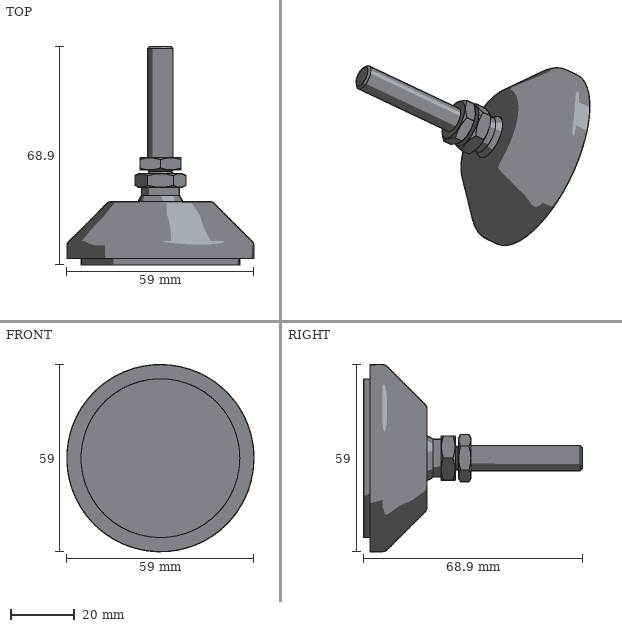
import cadquery as cq
import math


foot_diameter = 59.0
foot_height = 20.0
pad_diameter = 50.0
pad_height = 2.0
rim_top = 6.85
foot_top_radius = foot_diameter / 2 - (foot_height - rim_top)
foot_edge_rounding = 2.0

neck_diameter = 12.0
neck_length = 2.5
ball_diameter = 15.0
ball_radius = ball_diameter / 2
neck_start = 21.88
ball_center = neck_start - math.sqrt(ball_radius**2 - (neck_diameter / 2) ** 2)
hexagon_width = 14.0
hexagon_thickness = 4.5
hexagon_start = neck_start + neck_length
shank_start = hexagon_start + hexagon_thickness
shank_diameter = 8.0
shank_length = 40.0
shank_end = shank_start + shank_length
tip_chamfer = 0.7
groove_depth = 0.55
groove_width = 1.0

nut_width = 13.0
nut_thickness = 4.0
nut_start = shank_start + groove_width

chamfer_angle = math.radians(30)
chamfer_circle_ratio = 0.97
hexagon_corner_turn = 0.0
nut_corner_turn = 90.0


def revolve_about_y(profile):
    """Revolve a closed XY profile a full turn about the Y axis."""
    return profile.revolve(360, (0, 0, 0), (0, 1, 0))


def disk_plane(height):
    """Workplane square to the Y axis, extruding towards +Y."""
    return cq.Workplane(cq.Plane(origin=(0, height, 0), xDir=(1, 0, 0), normal=(0, 1, 0)))


def chamfered_hexagon(width, thickness, start, corner_turn):
    """Hexagonal prism along Y with its corners turned off conically at both ends."""
    corner_radius = width / math.sqrt(3)
    face_radius = chamfer_circle_ratio * width / 2
    chamfer_height = (corner_radius - face_radius) * math.tan(chamfer_angle)
    end = start + thickness
    prism = disk_plane(start).polygon(6, 2 * corner_radius).extrude(thickness)
    prism = prism.rotate((0, 0, 0), (0, 1, 0), corner_turn)
    turned_blank = revolve_about_y(
        cq.Workplane("XY")
        .moveTo(0, start)
        .lineTo(face_radius, start)
        .lineTo(corner_radius, start + chamfer_height)
        .lineTo(corner_radius, end - chamfer_height)
        .lineTo(face_radius, end)
        .lineTo(0, end)
        .close()
    )
    return prism.intersect(turned_blank)


def make_ball():
    return cq.Workplane("XY").sphere(ball_radius).translate((0, ball_center, 0))


def make_foot():
    """Round foot with a stepped base, rounded 45 degree flank and ball socket."""
    pad = disk_plane(0).circle(pad_diameter / 2).extrude(pad_height)
    rim_radius = foot_diameter / 2
    body = revolve_about_y(
        cq.Workplane("XY")
        .moveTo(0, pad_height)
        .lineTo(rim_radius, pad_height)
        .lineTo(rim_radius, rim_top)
        .lineTo(foot_top_radius, foot_height)
        .lineTo(0, foot_height)
        .close()
    )
    flank = body.faces("%CONE")
    rounded_body = flank.edges("%CIRCLE").fillet(foot_edge_rounding)
    return rounded_body.union(pad).cut(make_ball())


def make_shank():
    """Threaded shank with a V groove next to the hexagon and a chamfered tip."""
    radius = shank_diameter / 2
    return revolve_about_y(
        cq.Workplane("XY")
        .moveTo(0, shank_start)
        .lineTo(radius, shank_start)
        .lineTo(radius - groove_depth, shank_start + groove_width / 2)
        .lineTo(radius, shank_start + groove_width)
        .lineTo(radius, shank_end - tip_chamfer)
        .lineTo(radius - tip_chamfer, shank_end)
        .lineTo(0, shank_end)
        .close()
    )


def make_stud():
    """One-piece stud: ball, neck, hexagon and shank."""
    neck = disk_plane(ball_center).circle(neck_diameter / 2).extrude(hexagon_start - ball_center)
    hexagon = chamfered_hexagon(hexagon_width, hexagon_thickness, hexagon_start, hexagon_corner_turn)
    return make_ball().union(neck).union(hexagon).union(make_shank())


def make_lock_nut():
    """Thin hexagon nut fitting the shank."""
    blank = chamfered_hexagon(nut_width, nut_thickness, nut_start, nut_corner_turn)
    bore = disk_plane(nut_start).circle(shank_diameter / 2).extrude(nut_thickness)
    return blank.cut(bore)


foot = make_foot()
stud = make_stud()
lock_nut = make_lock_nut()

result = cq.Compound.makeCompound([foot.solids().val(), stud.solids().val(), lock_nut.solids().val()])